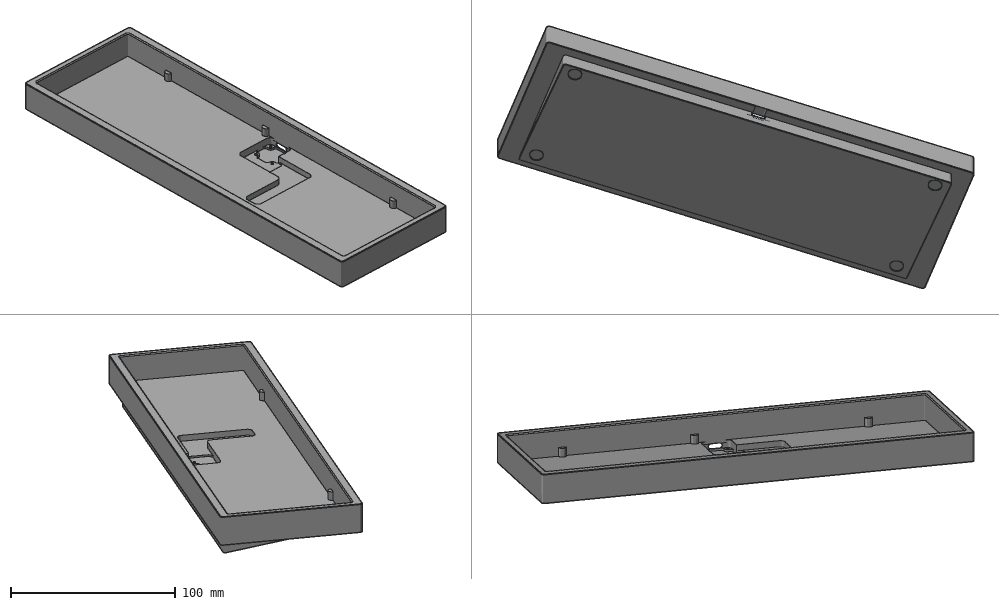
import cadquery as cq
import math


length = 277.0
width = 89.5
overall_height = 29.5
tray_height = 18.8
side_wall = 4.5
long_wall = 5.8
floor_top = 2.0
corner_radius = 2.0
inner_corner_radius = 1.0
rim_chamfer = 0.7
edge_break = 0.42

inner_length = length - 2 * side_wall
inner_width = width - 2 * long_wall
inner_back = inner_width / 2

wedge_inset = 12.7
wedge_length = length - 2 * wedge_inset
wedge_drop = overall_height - tray_height
wedge_back = 39.5
wedge_front = -41.5
wedge_corner_radius = 1.7
wedge_slope = math.degrees(math.atan2(wedge_drop, wedge_back - wedge_front))

foot_diameter = 8.3
foot_depth = 0.8
foot_x = 116.7
foot_y = 34.0

nub_radius = 2.5
nub_height = 5.5
back_nub_x = (-98.5, -13.5, 97.8)
front_nub_x = (-84.8, 84.8)

channel_depth = 4.0
shelf_depth = 5.0
well_depth = 6.5
pocket_left = -10.0
pocket_back = inner_back
channel_back = 27.2
channel_front = 11.5
channel_right = 39.4
channel_leg_left = 27.7
channel_leg_end = -19.7
shelf_right = 13.9
well_right = 9.5
well_front = 22.2
pocket_radius = 3.0

boss_reach = 2.08
hole_diameter = 1.64
hole_depth = 1.5
hole_spacing_x = 14.0
hole_spacing_y = 12.5
well_middle_x = (pocket_left + well_right) / 2
well_middle_y = (well_front + pocket_back) / 2
well_fillet = 2.0

port_width = 9.0
port_height = 3.3
port_top_below_floor = 1.7


def box_between(x_min, x_max, y_min, y_max, z_min, z_max):
    """Box between the given limits."""
    block = cq.Workplane("XY").box(x_max - x_min, y_max - y_min, z_max - z_min, centered=False)
    return block.translate((x_min, y_min, z_min))


def rounded_block(x_min, x_max, y_min, y_max, z_min, z_max, radius):
    """Box between the given limits with rounded vertical edges."""
    block = box_between(x_min, x_max, y_min, y_max, z_min, z_max)
    return block.edges("|Z").fillet(radius)


def make_tray():
    tray = cq.Workplane("XY").box(length, width, tray_height, centered=(True, True, False))
    tray = tray.edges("|Z").fillet(corner_radius).faces("<Z or >Z").edges().chamfer(edge_break)
    cavity = rounded_block(
        -inner_length / 2, inner_length / 2, -inner_back, inner_back,
        floor_top, tray_height, inner_corner_radius,
    )
    mouth = cq.selectors.BoxSelector(
        (-inner_length / 2 - rim_chamfer, -inner_back - rim_chamfer, tray_height - rim_chamfer),
        (inner_length / 2 + rim_chamfer, inner_back + rim_chamfer, tray_height + rim_chamfer),
    )
    return tray.cut(cavity).faces(">Z").edges(mouth).chamfer(rim_chamfer)


def make_wedge():
    profile = [
        (wedge_front, floor_top / 2),
        (wedge_front, 0),
        (wedge_back, -wedge_drop),
        (wedge_back, floor_top / 2),
    ]
    wedge = cq.Workplane("YZ").polyline(profile).close().extrude(wedge_length / 2, both=True)
    wedge = wedge.faces(">Y").edges("|Z").fillet(wedge_corner_radius)
    return wedge.faces("<Z").edges().chamfer(edge_break)


def make_foot_recess(x, y):
    z = -wedge_drop * (y - wedge_front) / (wedge_back - wedge_front)
    recess = cq.Workplane("XY").circle(foot_diameter / 2).extrude(foot_depth, both=True)
    return recess.rotate((0, 0, 0), (1, 0, 0), -wedge_slope).translate((x, y, z))


def make_nub(x, y):
    return cq.Workplane("XY").circle(nub_radius).extrude(nub_height).translate((x, y, floor_top))


def make_channel():
    bottom = floor_top - channel_depth
    run = box_between(
        pocket_left, channel_right, channel_front, channel_back, bottom, floor_top
    )
    leg = box_between(
        channel_leg_left, channel_right, channel_leg_end, channel_back, bottom, floor_top
    )
    return run.union(leg).edges("|Z").fillet(pocket_radius)


def make_shelf():
    bottom = floor_top - shelf_depth
    front_part = rounded_block(
        pocket_left, shelf_right, channel_front, channel_back, bottom, floor_top, pocket_radius
    )
    back_part = rounded_block(
        pocket_left, well_right, channel_front, pocket_back, bottom, floor_top, pocket_radius
    )
    return front_part.union(back_part)


def make_well():
    bottom = floor_top - well_depth
    top = floor_top - shelf_depth
    reach_x = hole_spacing_x / 2 - boss_reach
    reach_y = hole_spacing_y / 2 - boss_reach
    well = box_between(
        well_middle_x - reach_x, well_middle_x + reach_x, well_front, pocket_back, bottom, top
    )
    well = well.union(box_between(
        pocket_left, well_right, well_middle_y - reach_y, well_middle_y + reach_y, bottom, top
    ))
    return well.edges("|Z").fillet(well_fillet)


def make_screw_holes():
    holes = cq.Workplane("XY").rarray(hole_spacing_x, hole_spacing_y, 2, 2).circle(hole_diameter / 2)
    holes = holes.extrude(-hole_depth)
    return holes.translate((well_middle_x, well_middle_y, floor_top - shelf_depth))


def make_port():
    middle_z = floor_top - port_top_below_floor - port_height / 2
    port = cq.Workplane("XZ").slot2D(port_width, port_height).extrude(-width / 2)
    return port.translate((well_middle_x, well_middle_y, middle_z))


result = make_tray().union(make_wedge())
for x in back_nub_x:
    result = result.union(make_nub(x, inner_back))
for x in front_nub_x:
    result = result.union(make_nub(x, -inner_back))
for x in (-foot_x, foot_x):
    for y in (-foot_y, foot_y):
        result = result.cut(make_foot_recess(x, y))
for recess in (make_channel(), make_shelf(), make_well(), make_screw_holes(), make_port()):
    result = result.cut(recess)